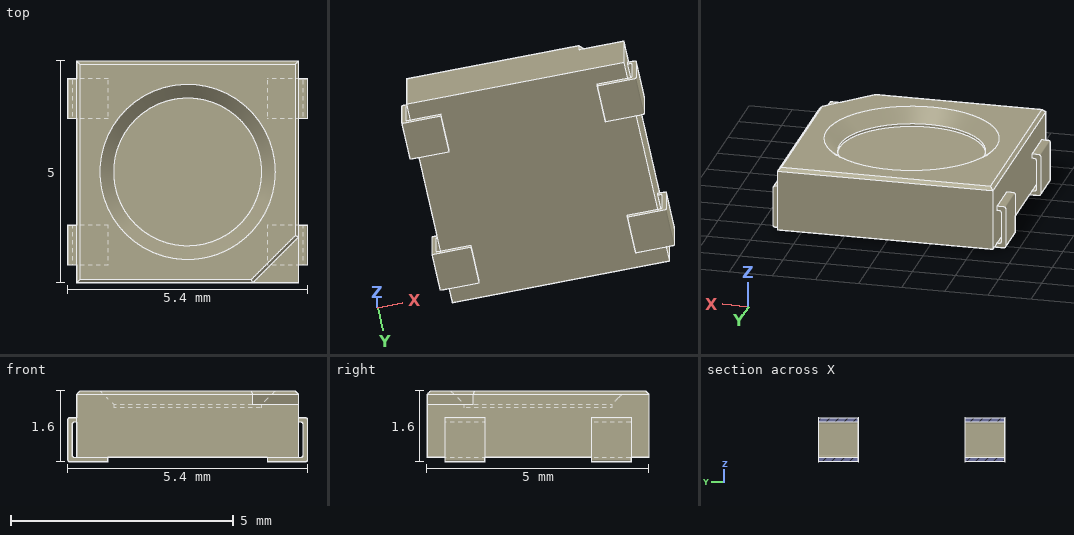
import cadquery as cq

body_side = 5.0
body_bottom = 0.1
overall_height = 1.6
edge_chamfer = 0.075

notch_leg = 1.035
notch_depth = 0.3

cup_top_diameter = 3.95
cup_floor_diameter = 3.33
cone_depth = 0.3
cup_wall_depth = 0.065

lead_span = 5.4
lead_height = 1.0
lead_thickness = 0.1
lead_width = 0.9
lead_spacing = 3.3
foot_length = 0.9
outer_bend_radius = 0.05
inner_bend_radius = 0.05
lead_embed = 0.055
selection_margin = 0.005

half_side = body_side / 2
half_span = lead_span / 2


def make_body():
    """Square housing whose upper layer has one corner cut off diagonally."""
    notch_floor = overall_height - notch_depth
    lower = (
        cq.Workplane("XY", origin=(0, 0, body_bottom))
        .rect(body_side, body_side)
        .extrude(notch_floor - body_bottom)
    )
    upper = (
        cq.Workplane("XY", origin=(0, 0, notch_floor))
        .moveTo(-half_side, -half_side)
        .lineTo(half_side - notch_leg, -half_side)
        .lineTo(half_side, -half_side + notch_leg)
        .lineTo(half_side, half_side)
        .lineTo(-half_side, half_side)
        .close()
        .extrude(notch_depth)
        .faces(">Z")
        .chamfer(edge_chamfer)
    )
    return lower.union(upper)


def make_cup():
    """Revolved volume removed from the top for the reflector cup."""
    cone_bottom = overall_height - cone_depth
    cup_floor = cone_bottom - cup_wall_depth
    return (
        cq.Workplane("XZ")
        .moveTo(0, cup_floor)
        .lineTo(cup_floor_diameter / 2, cup_floor)
        .lineTo(cup_floor_diameter / 2, cone_bottom)
        .lineTo(cup_top_diameter / 2, overall_height)
        .lineTo(0, overall_height)
        .close()
        .revolve(360, (0, 0, 0), (0, 1, 0))
    )


def make_lead(y_center):
    """Bent strip on the -X side: top arm, upright and foot under the body."""
    arm_end = -half_side + lead_embed
    upright_inside = -half_span + lead_thickness
    arm_underside = lead_height - lead_thickness
    foot_end = -half_span + foot_length
    lead = (
        cq.Workplane("XZ", origin=(0, y_center, 0))
        .moveTo(foot_end, 0)
        .lineTo(-half_span, 0)
        .lineTo(-half_span, lead_height)
        .lineTo(arm_end, lead_height)
        .lineTo(arm_end, arm_underside)
        .lineTo(upright_inside, arm_underside)
        .lineTo(upright_inside, lead_thickness)
        .lineTo(foot_end, lead_thickness)
        .close()
        .extrude(lead_width / 2, both=True)
    )
    lead = lead.edges("|Y and <X").fillet(outer_bend_radius)
    inner_bends = cq.selectors.BoxSelector(
        (upright_inside - selection_margin, y_center - lead_width, lead_thickness - selection_margin),
        (upright_inside + selection_margin, y_center + lead_width, arm_underside + selection_margin),
    )
    return lead.edges("|Y").edges(inner_bends).fillet(inner_bend_radius)


result = make_body().cut(make_cup())
for y_center in (-lead_spacing / 2, lead_spacing / 2):
    left_lead = make_lead(y_center)
    result = result.union(left_lead).union(left_lead.mirror("YZ"))